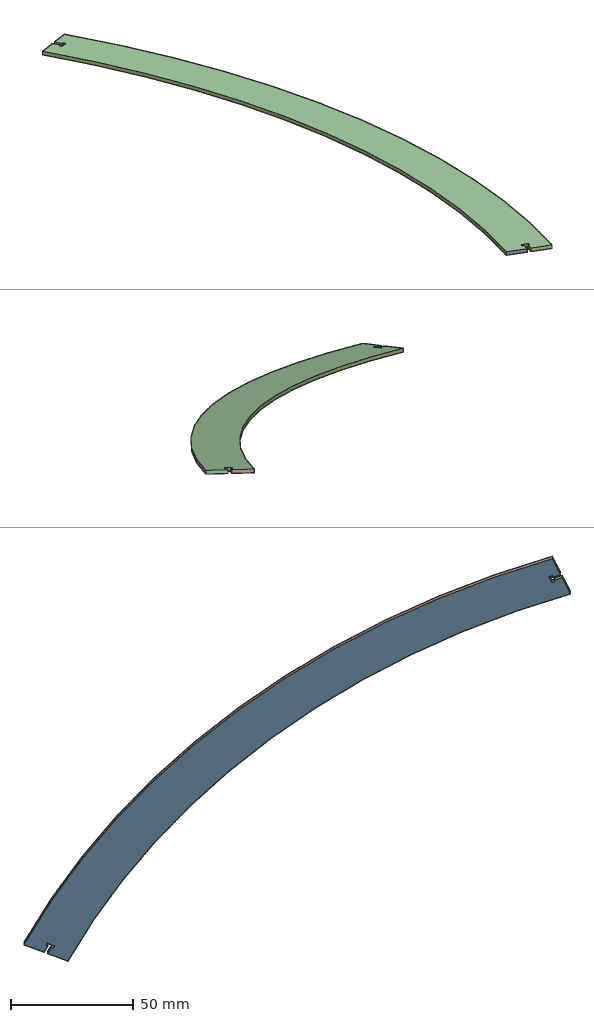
import math

import cadquery as cq

outer_radius = 382.5
strip_width = 20.0
chord_length = 296.3
overall_height = 48.51
thickness = 1.6

inner_radius = outer_radius - strip_width

outer_corner_x = chord_length / 2
outer_corner_y = math.sqrt(outer_radius**2 - outer_corner_x**2)
inner_corner_y = outer_radius - overall_height
inner_corner_x = math.sqrt(inner_radius**2 - inner_corner_y**2)

end_x = (outer_corner_x + inner_corner_x) / 2
end_y = (outer_corner_y + inner_corner_y) / 2
end_tilt = math.degrees(math.atan2(outer_corner_x - inner_corner_x, outer_corner_y - inner_corner_y))

neck_width = 1.6
notch_depth = 4.8
crossbar_width = 1.2
crossbar_length = 3.2


def make_strip():
    return (
        cq.Workplane("XY")
        .moveTo(-outer_corner_x, outer_corner_y)
        .threePointArc((0, outer_radius), (outer_corner_x, outer_corner_y))
        .lineTo(inner_corner_x, inner_corner_y)
        .threePointArc((0, inner_radius), (-inner_corner_x, inner_corner_y))
        .close()
        .extrude(thickness)
    )


def make_right_notch():
    """T-shaped cutter for the right-hand end; its neck extends past the end face to open it fully."""
    neck = cq.Workplane("XY").rect(2 * notch_depth, neck_width).extrude(thickness)
    crossbar = (
        cq.Workplane("XY")
        .center(crossbar_width / 2 - notch_depth, 0)
        .rect(crossbar_width, crossbar_length)
        .extrude(thickness)
    )
    notch = neck.union(crossbar)
    return notch.rotate((0, 0, 0), (0, 0, 1), -end_tilt).translate((end_x, end_y, 0))


right_notch = make_right_notch()
left_notch = right_notch.mirror("YZ")
result = make_strip().cut(right_notch).cut(left_notch)